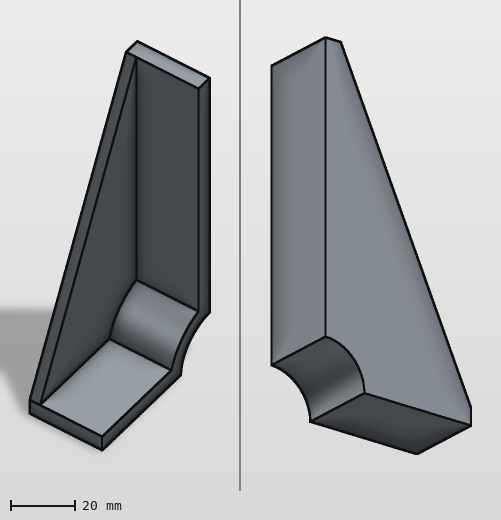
import cadquery as cq

width = 28.0
depth = 57.0
height = 117.0
plate_thickness = 6.0
web_thickness = 4.0
corner_radius = 15.2

corner_wall_radius = corner_radius + plate_thickness

left = -width / 2
front = -depth / 2
back = depth / 2


def corner_cylinder(radius):
    """Full-width cylinder around the outer back corner edge."""
    return cq.Workplane("YZ", origin=(left, back, 0)).circle(radius).extrude(width)


def side_web():
    """Tapered web joining the front of the foot to the top of the back plate."""
    outline = [
        (front, 0),
        (back, 0),
        (back, height),
        (back - plate_thickness, height),
        (front, plate_thickness),
    ]
    return cq.Workplane("YZ", origin=(left, 0, 0)).polyline(outline).close().extrude(web_thickness)


envelope = cq.Workplane("XY").box(width, depth, height, centered=(True, True, False))
foot = cq.Workplane("XY").box(width, depth, plate_thickness, centered=(True, True, False))
back_plate = (
    cq.Workplane("XY", origin=(0, back - plate_thickness / 2, 0))
    .box(width, plate_thickness, height, centered=(True, True, False))
)
corner_wall = corner_cylinder(corner_wall_radius).intersect(envelope)

bracket = foot.union(back_plate).union(corner_wall).union(side_web())
result = bracket.cut(corner_cylinder(corner_radius))